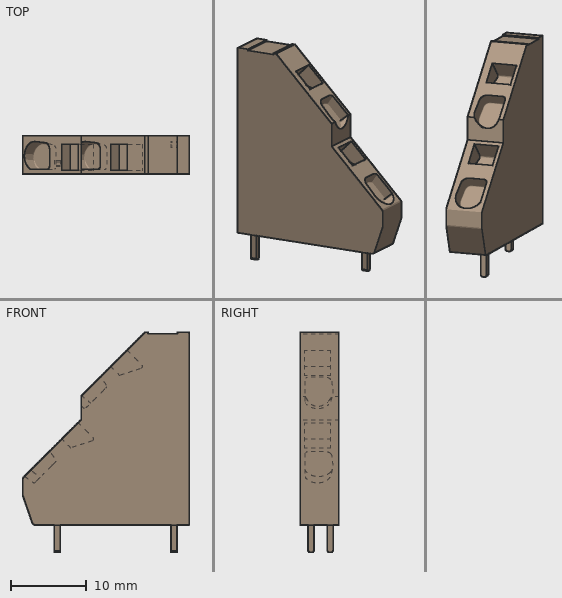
import cadquery as cq
import math

housing_length = 22.07
housing_width = 5.1
housing_height = 25.5
toe_setback = 1.37
toe_height = 3.95
front_top = 6.2
step_x = 7.75
step_top = 17.05
front_radius = 0.5
back_radius = 0.15

recess_start = 16.6
recess_end = 20.45
recess_depth = 0.17

step_bottom = front_top + step_x
slope_end_x = step_x + housing_height - step_top

slot_length = 3.05
slot_width = 3.43
slot_side = 0.52
slot_shallow_depth = 1.6
slot_deep_depth = 3.17
slot_radius = 0.3

entry_length = 4.72
entry_depth = 1.5
entry_draft = 0.25
entry_near_side = 0.6
entry_far_side = 4.3
entry_round_side = 0.47
entry_far_lean = 0.15
entry_near_corner = 0.52
entry_far_corner = 1.0
entry_floor_radius = 0.15

lower_entry_start = 0.35
lower_slot_start = 7.35
upper_entry_start = -1.1
upper_slot_start = 5.53

pin_size = 0.82
pin_length = 3.6
pin_bevel_height = 0.23
pin_bevel_inset = 0.17
pin_centers = [(4.6, 1.43), (20.03, 3.95)]


def make_housing():
    outline = [
        (toe_setback, 0),
        (housing_length, 0),
        (housing_length, housing_height),
        (recess_end, housing_height),
        (recess_end, housing_height - recess_depth),
        (recess_start, housing_height - recess_depth),
        (recess_start, housing_height),
        (slope_end_x, housing_height),
        (step_x, step_top),
        (step_x, step_bottom),
        (0, front_top),
        (0, toe_height),
    ]
    block = cq.Workplane("XZ").polyline(outline).close().extrude(-housing_width)

    front_corners = [(toe_setback, 0), (0, toe_height), (0, front_top)]
    back_corners = [(housing_length, 0), (housing_length, housing_height)]
    for corners, radius in ((front_corners, front_radius), (back_corners, back_radius)):
        for x, z in corners:
            corner_edge = cq.NearestToPointSelector((x, housing_width / 2, z))
            block = block.edges("|Y").edges(corner_edge).fillet(radius)
    return block


def slope_point(corner, distance, y):
    """Point on the slope that starts at corner, a given distance up it."""
    rise = distance / math.sqrt(2)
    return (corner[0] + rise, y, corner[1] + rise)


def slot_cutter(corner, start):
    side_plane = cq.Plane(slope_point(corner, start, slot_side), xDir=(1, 0, 1), normal=(0, -1, 0))
    profile = [
        (0, 0),
        (0, -slot_shallow_depth),
        (slot_length, -slot_deep_depth),
        (slot_length, 0),
    ]
    cutter = cq.Workplane(side_plane).polyline(profile).close().extrude(-slot_width)
    deep_edge = cq.NearestToPointSelector(
        side_plane.toWorldCoords((slot_length, -slot_deep_depth, -slot_width / 2)).toTuple()
    )
    return cutter.edges("|Y").edges(deep_edge).fillet(slot_radius)


def entry_outline(plane, inset):
    """Closed outline of the wire entry; x runs up the slope and inset draws in all but the near side."""
    far_y = entry_far_side - inset
    round_radius = (far_y - entry_round_side) / 2
    round_center_y = (far_y + entry_round_side) / 2
    round_center_x = inset + round_radius

    half_chord = round_center_y - entry_near_side
    near_start = round_center_x - math.sqrt(round_radius**2 - half_chord**2)

    top_x = entry_length - inset
    far_top = far_y - entry_far_lean
    far_corner = entry_far_corner - inset
    near_corner = entry_near_corner
    diagonal = 1 - math.sqrt(0.5)

    return (
        cq.Workplane(plane)
        .moveTo(near_start, entry_near_side)
        .lineTo(top_x - near_corner, entry_near_side)
        .threePointArc(
            (top_x - diagonal * near_corner, entry_near_side + diagonal * near_corner),
            (top_x, entry_near_side + near_corner),
        )
        .lineTo(top_x, far_top - far_corner)
        .threePointArc(
            (top_x - diagonal * far_corner, far_top - diagonal * far_corner),
            (top_x - far_corner, far_top),
        )
        .lineTo(round_center_x, far_y)
        .threePointArc((inset, round_center_y), (near_start, entry_near_side))
        .close()
        .wire()
        .val()
    )


def entry_cutter(corner, start):
    mouth = cq.Plane(slope_point(corner, start, 0), xDir=(1, 0, 1), normal=(-1, 0, 1))
    floor = cq.Plane(mouth.toWorldCoords((0, 0, -entry_depth)), xDir=(1, 0, 1), normal=(-1, 0, 1))
    wires = [entry_outline(mouth, 0), entry_outline(floor, entry_draft)]
    cutter = cq.Workplane(cq.Solid.makeLoft(wires, True))
    floor_face = cq.DirectionMinMaxSelector(floor.zDir, False)
    return cutter.faces(floor_face).edges().fillet(entry_floor_radius)


def make_pin(x, y):
    half = pin_size / 2
    tip_half = half - pin_bevel_inset
    bevel_top = pin_bevel_height - pin_length
    profile = [
        (y - half, 0),
        (y - half, bevel_top),
        (y - tip_half, -pin_length),
        (y + tip_half, -pin_length),
        (y + half, bevel_top),
        (y + half, 0),
    ]
    return cq.Workplane("YZ", origin=(x - half, 0, 0)).polyline(profile).close().extrude(pin_size)


lower_corner = (0, front_top)
upper_corner = (step_x, step_top)

result = make_housing()
for corner, entry_start, slot_start in (
    (lower_corner, lower_entry_start, lower_slot_start),
    (upper_corner, upper_entry_start, upper_slot_start),
):
    result = result.cut(entry_cutter(corner, entry_start))
    result = result.cut(slot_cutter(corner, slot_start))
for x, y in pin_centers:
    result = result.union(make_pin(x, y))